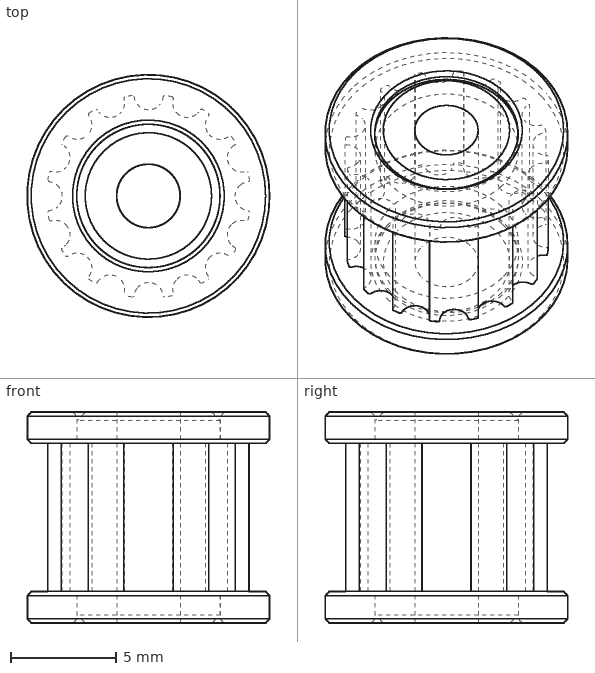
import cadquery as cq
import math

flange_diameter = 11.5
total_height = 10.0
flange_thickness = 1.5
bore_diameter = 3.0

hub_diameter = 6.8
hub_chamfer = 0.4
flange_chamfer = 0.2
countersink_angle = 90

tooth_count = 16
tooth_tip_radius = 4.84
groove_radius = 0.69
groove_depth = 0.75
tooth_corner_fillet = 0.09
corner_tolerance = 0.001

tooth_height = total_height - 2 * flange_thickness
groove_center_radius = tooth_tip_radius - groove_depth + groove_radius


def is_tooth_corner(edge):
    """True for an edge where a groove wall meets the tooth tip circle."""
    point = edge.Center()
    return math.isclose(math.hypot(point.x, point.y), tooth_tip_radius, abs_tol=corner_tolerance)


def make_toothed_section():
    """Cylinder with round-bottomed belt grooves and rounded tooth corners."""
    base = cq.Workplane("XY").workplane(offset=flange_thickness)
    blank = base.circle(tooth_tip_radius).extrude(tooth_height)
    grooves = (
        base.polarArray(groove_center_radius, 0, 360, tooth_count)
        .circle(groove_radius)
        .extrude(tooth_height)
    )
    section = blank.cut(grooves)
    corners = [edge for edge in section.edges("|Z").vals() if is_tooth_corner(edge)]
    return section.newObject(corners).fillet(tooth_corner_fillet)


def make_pulley():
    """Toothed section on a chamfered hub, with a bore right through."""
    hub = cq.Workplane("XY").circle(hub_diameter / 2).extrude(total_height)
    hub = hub.faces("<Z or >Z").chamfer(hub_chamfer)
    bore = cq.Workplane("XY").circle(bore_diameter / 2).extrude(total_height)
    return hub.union(make_toothed_section()).cut(bore)


def make_flange(is_top):
    """Ring around one hub end, chamfered at both outer rims and at the exposed bore rim."""
    outer_face = ">Z" if is_top else "<Z"
    base_height = total_height - flange_thickness if is_top else 0
    disc = (
        cq.Workplane("XY")
        .workplane(offset=base_height)
        .circle(flange_diameter / 2)
        .extrude(flange_thickness)
        .edges()
        .chamfer(flange_chamfer)
    )
    bore_rim_diameter = hub_diameter + 2 * flange_chamfer
    return disc.faces(outer_face).workplane().cskHole(hub_diameter, bore_rim_diameter, countersink_angle)


pulley = make_pulley()
flanges = [make_flange(is_top).val() for is_top in (False, True)]

result = cq.Compound.makeCompound([pulley.val(), *flanges])